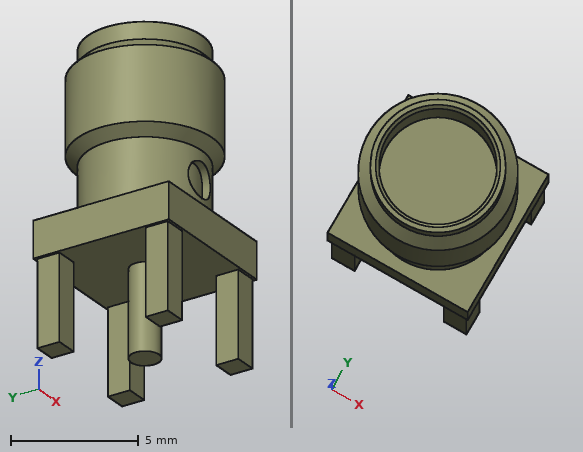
import cadquery as cq

total_height = 13.46
flange_side = 6.35
flange_bottom = 3.92
flange_top = 5.59

neck_diameter = 5.32
collar_diameter = 6.27
collar_bottom = 8.4
collar_lower_edge = 8.84
collar_upper_edge = 12.21
collar_top = 12.69

bore_diameter = 4.63
bore_depth = 1.97
bore_chamfer = 0.13

leg_side = 1.04
leg_inset = 0.12
pin_diameter = 1.3

dimple_diameter = 1.59
dimple_height = 7.11

neck_radius = neck_diameter / 2
collar_radius = collar_diameter / 2
bore_radius = bore_diameter / 2
bore_floor = total_height - bore_depth


def make_base():
    """Square flange with four corner legs and a round centre pin."""
    flange = (
        cq.Workplane("XY", origin=(0, 0, flange_bottom))
        .rect(flange_side, flange_side)
        .extrude(flange_top - flange_bottom)
    )
    leg_spacing = flange_side - 2 * leg_inset - leg_side
    legs = (
        cq.Workplane("XY")
        .rect(leg_spacing, leg_spacing, forConstruction=True)
        .vertices()
        .rect(leg_side, leg_side)
        .extrude(flange_bottom)
    )
    pin = cq.Workplane("XY").circle(pin_diameter / 2).extrude(flange_bottom)
    return flange.union(legs).union(pin)


def make_barrel():
    """Turned barrel with a bevelled collar and a chamfered blind bore."""
    return (
        cq.Workplane("XZ")
        .moveTo(0, flange_top)
        .lineTo(neck_radius, flange_top)
        .lineTo(neck_radius, collar_bottom)
        .lineTo(collar_radius, collar_lower_edge)
        .lineTo(collar_radius, collar_upper_edge)
        .lineTo(neck_radius, collar_top)
        .lineTo(neck_radius, total_height)
        .lineTo(bore_radius + bore_chamfer, total_height)
        .lineTo(bore_radius, total_height - bore_chamfer)
        .lineTo(bore_radius, bore_floor)
        .lineTo(0, bore_floor)
        .close()
        .revolve(360, (0, 0, 0), (0, 1, 0))
    )


def make_dimples():
    """Cutter for round dimples at front and back, floored by a core as wide as the bore."""
    cross_hole = (
        cq.Workplane("XZ", origin=(0, 0, dimple_height))
        .circle(dimple_diameter / 2)
        .extrude(neck_radius, both=True)
    )
    core = (
        cq.Workplane("XY", origin=(0, 0, flange_top))
        .circle(bore_radius)
        .extrude(bore_floor - flange_top)
    )
    return cross_hole.cut(core)


result = make_base().union(make_barrel()).cut(make_dimples())